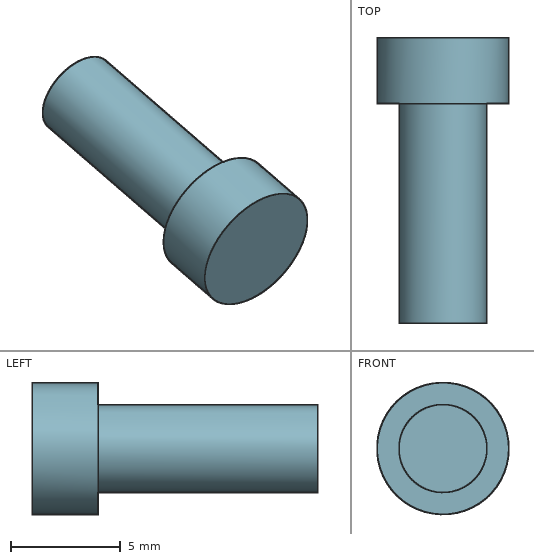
import cadquery as cq

total_length = 13.0
head_diameter = 6.0
head_length = head_diameter / 2
shank_diameter = head_diameter * 2 / 3
shank_length = total_length - head_length

free_end = cq.Workplane("XZ", origin=(0, 0, 0))
shank = free_end.circle(shank_diameter / 2).extrude(-shank_length)

head_seat = cq.Workplane("XZ", origin=(0, shank_length, 0))
head = head_seat.circle(head_diameter / 2).extrude(-head_length)

result = shank.union(head)